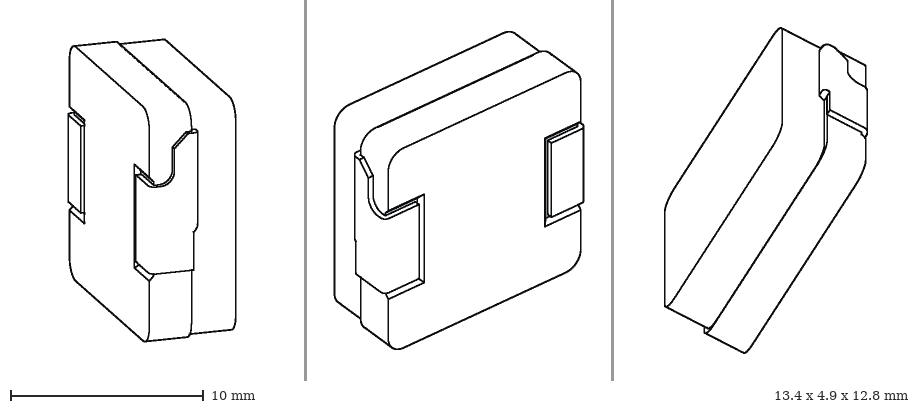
import cadquery as cq
import math

width = 13.37
depth = 4.9
height = 12.75

sheet = 0.31
foot_proud = 0.05
bend_radius = 0.32
terminal_depth = 2.69
foot_half_height = 2.37
foot_inner_x = 4.39
tab_top = 5.1
tab_bottom = 0.0
top_edge_y = 2.07
neck_y = 1.32
neck_radius = 0.76
back_tab_reach = 0.8

body_width = width - 2 * sheet
corner_radius = 1.02
back_thickness = 2.53
back_step_x = 0.28
back_step_z = 0.05

recess_depth = sheet - foot_proud
recess_half_height = 2.82
recess_inner_x = 3.98
recess_taper = 0.28

front_y = foot_proud
split_y = depth - back_thickness


def rounded_block(size_x, size_z, y_start, y_end):
    length = y_end - y_start
    block = cq.Workplane("XY").box(size_x, length, size_z).edges("|Y").fillet(corner_radius)
    return block.translate((0, (y_start + y_end) / 2, 0))


def make_body():
    front = rounded_block(body_width, height, front_y, split_y)
    back = rounded_block(body_width - 2 * back_step_x, height - 2 * back_step_z, split_y, depth)
    return front.union(back)


def make_recess():
    """Pocket on the +X side, narrowing towards its floor and open at the body side."""
    outer_x = width / 2
    mouth_width = outer_x - recess_inner_x
    floor_width = mouth_width - recess_taper
    return (
        cq.Workplane("XZ", origin=(0, front_y, 0))
        .center(outer_x - mouth_width / 2, 0)
        .rect(mouth_width, 2 * recess_half_height)
        .workplane(offset=-recess_depth)
        .center(recess_taper / 2, 0)
        .rect(floor_width, 2 * (recess_half_height - recess_taper))
        .loft(ruled=True)
    )


def make_terminal():
    """Bent strip on the +X side: foot, side plate and tab folded into the body."""
    plate_back_y = terminal_depth - sheet
    shoulder_z = tab_top - (top_edge_y - neck_y)
    arc_centre_y = neck_y - neck_radius
    arc_centre_z = foot_half_height + neck_radius
    arc_mid = neck_radius * math.sqrt(0.5)
    side_outline = (
        cq.Workplane("YZ", origin=(foot_inner_x, 0, 0))
        .moveTo(0, -foot_half_height)
        .lineTo(plate_back_y, -foot_half_height)
        .lineTo(plate_back_y, tab_bottom - sheet)
        .lineTo(terminal_depth, tab_bottom)
        .lineTo(terminal_depth, tab_top)
        .lineTo(top_edge_y, tab_top)
        .lineTo(neck_y, shoulder_z)
        .lineTo(neck_y, arc_centre_z)
        .threePointArc(
            (arc_centre_y + arc_mid, arc_centre_z - arc_mid),
            (arc_centre_y, foot_half_height),
        )
        .lineTo(0, foot_half_height)
        .close()
        .extrude(width / 2 - foot_inner_x)
    )
    back_tab_x = width / 2 - back_tab_reach
    plate_x = width / 2 - sheet
    strip_path = (
        cq.Workplane("XY", origin=(0, 0, -foot_half_height))
        .moveTo(foot_inner_x, 0)
        .lineTo(width / 2 - bend_radius, 0)
        .radiusArc((width / 2, bend_radius), -bend_radius)
        .lineTo(width / 2, terminal_depth - bend_radius)
        .radiusArc((width / 2 - bend_radius, terminal_depth), -bend_radius)
        .lineTo(back_tab_x, terminal_depth)
        .lineTo(back_tab_x, plate_back_y)
        .lineTo(plate_x, plate_back_y)
        .lineTo(plate_x, sheet)
        .lineTo(foot_inner_x, sheet)
        .close()
        .extrude(foot_half_height + tab_top)
    )
    return side_outline.intersect(strip_path)


recess = make_recess()
terminal = make_terminal()
result = make_body().cut(recess).cut(recess.mirror("YZ"))
result = result.union(terminal).union(terminal.mirror("YZ"))
result = result.translate((0, -depth / 2, 0))